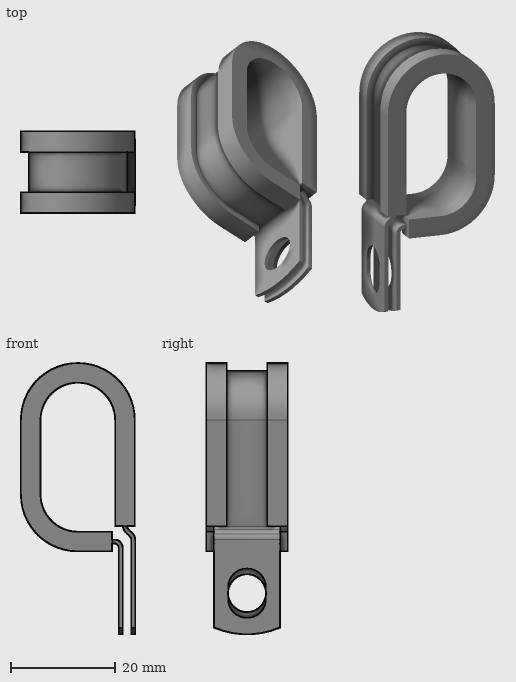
import cadquery as cq
import math

bore_radius = 7.15
cushion_thickness = 3.82
cushion_width = 15.75
arc_spacing = 14.3
side_leg_length = 20.4
bottom_leg_length = 6.6

groove_depth = 1.5
groove_width = 7.7

band_thickness = 0.8
band_width = 12.7
bend_radius = 1.2
overall_width = 22.01
overall_height = 52.19
tab_gap = 1.6
jog_angle = math.radians(45)
tab_tip_radius = 15.875
hole_diameter = 7.25
slot_length = 9.5
hole_from_tip = 7.94

cushion_radius = bore_radius + cushion_thickness
arc_center_z = arc_spacing / 2
side_leg_end_z = arc_center_z - side_leg_length
tip_z = arc_center_z + cushion_radius - overall_height
band_mid_radius = cushion_radius - groove_depth - band_thickness / 2
outer_tab_x = overall_width - cushion_radius - band_thickness / 2
inner_tab_x = outer_tab_x - band_thickness - tab_gap


def wrap_path(radius):
    """Path around the opening, from the bottom leg's end to the side leg's end."""
    return (
        cq.Workplane("XZ")
        .moveTo(bottom_leg_length, -arc_center_z - radius)
        .lineTo(0, -arc_center_z - radius)
        .tangentArcPoint((-radius, -arc_center_z), relative=False)
        .lineTo(-radius, arc_center_z)
        .threePointArc((0, arc_center_z + radius), (radius, arc_center_z))
        .lineTo(radius, side_leg_end_z)
    )


def wrapped_strip(outer_radius, thickness, width):
    """Flat strip wrapped around the opening, its outer face at outer_radius."""
    mid_radius = outer_radius - thickness / 2
    section = cq.Workplane("YZ", origin=(bottom_leg_length, 0, -arc_center_z - mid_radius))
    return section.rect(width, thickness).sweep(wrap_path(mid_radius))


def make_inner_tab():
    """Tab that turns down from the end of the band's bottom leg."""
    start_z = -arc_center_z - band_mid_radius
    path = (
        cq.Workplane("XZ")
        .moveTo(bottom_leg_length, start_z)
        .lineTo(inner_tab_x - bend_radius, start_z)
        .tangentArcPoint((inner_tab_x, start_z - bend_radius), relative=False)
        .lineTo(inner_tab_x, tip_z)
    )
    section = cq.Workplane("YZ", origin=(bottom_leg_length, 0, start_z))
    return section.rect(band_width, band_thickness).sweep(path)


def make_outer_tab():
    """Tab that jogs outward along a slope from the end of the band's side leg."""
    jog = outer_tab_x - band_mid_radius
    bend_shift = bend_radius * (1 - math.cos(jog_angle))
    bend_drop = bend_radius * math.sin(jog_angle)
    slope_shift = jog - 2 * bend_shift
    slope_drop = slope_shift / math.tan(jog_angle)
    slope_top_z = side_leg_end_z - bend_drop
    slope_end_z = slope_top_z - slope_drop
    path = (
        cq.Workplane("XZ")
        .moveTo(band_mid_radius, arc_center_z)
        .lineTo(band_mid_radius, side_leg_end_z)
        .tangentArcPoint((band_mid_radius + bend_shift, slope_top_z), relative=False)
        .lineTo(outer_tab_x - bend_shift, slope_end_z)
        .tangentArcPoint((outer_tab_x, slope_end_z - bend_drop), relative=False)
        .lineTo(outer_tab_x, tip_z)
    )
    section = cq.Workplane("XY", origin=(band_mid_radius, 0, arc_center_z))
    return section.rect(band_thickness, band_width).sweep(path)


def round_tip(tab):
    """Trim a tab's tip to a shallow arc."""
    half_width = band_width / 2
    corner_rise = tab_tip_radius - math.sqrt(tab_tip_radius**2 - half_width**2)
    tip_waste = (
        cq.Workplane("YZ")
        .moveTo(-half_width, tip_z + corner_rise)
        .threePointArc((0, tip_z), (half_width, tip_z + corner_rise))
        .lineTo(half_width, tip_z)
        .lineTo(-half_width, tip_z)
        .close()
        .extrude(overall_width)
    )
    return tab.cut(tip_waste)


hole_sketch_plane = cq.Workplane("YZ").center(0, tip_z + hole_from_tip)
round_hole = hole_sketch_plane.circle(hole_diameter / 2).extrude(overall_width)
upright_slot = hole_sketch_plane.slot2D(slot_length, hole_diameter, 90).extrude(overall_width)

inner_tab = round_tip(make_inner_tab()).cut(round_hole)
outer_tab = round_tip(make_outer_tab()).cut(upright_slot)

cushion = wrapped_strip(cushion_radius, cushion_thickness, cushion_width)
groove = wrapped_strip(cushion_radius, groove_depth, groove_width)

result = cushion.cut(groove).union(inner_tab).union(outer_tab)